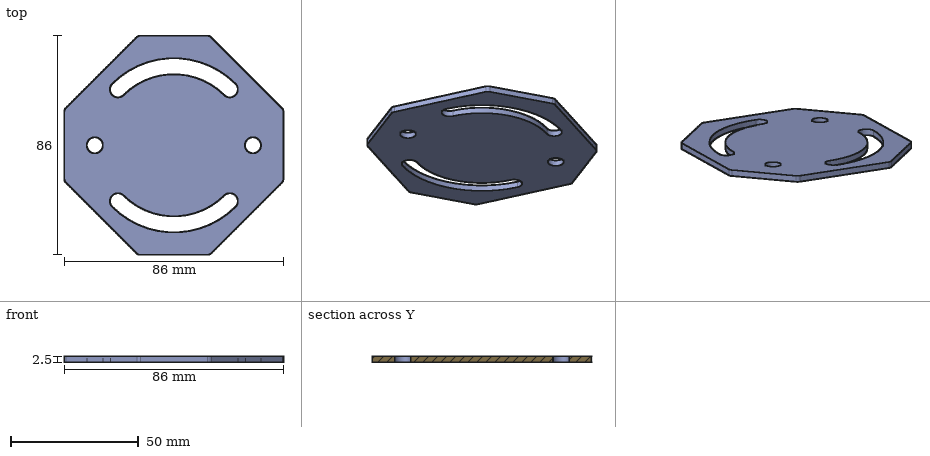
import cadquery as cq
import math

plate_size = 86.0
plate_thickness = 2.5
flat_length = 28.0
corner_radius = 2.0

pitch_radius = 31.0
opening_width = 6.2
slot_half_angle = 45.0
slot_middle_angles = (90.0, 270.0)
hole_angles = (0.0, 180.0)


def polar_point(radius, angle):
    """Point at a radius and an angle in degrees about the plate centre."""
    turn = math.radians(angle)
    return (radius * math.cos(turn), radius * math.sin(turn))


def make_plate():
    """Square plate with cut-off corners and rounded vertical edges, base at Z = 0."""
    corner_cut = (plate_size - flat_length) / 2
    return (
        cq.Workplane("XY")
        .rect(plate_size, plate_size)
        .extrude(plate_thickness)
        .edges("|Z")
        .chamfer(corner_cut)
        .edges("|Z")
        .fillet(corner_radius)
    )


def make_hole(angle):
    """Cutter for one round through hole on the pitch circle."""
    return (
        cq.Workplane("XY")
        .pushPoints([polar_point(pitch_radius, angle)])
        .circle(opening_width / 2)
        .extrude(plate_thickness)
    )


def make_slot(middle_angle):
    """Cutter for one curved through slot with round ends, following the pitch circle."""
    inner_radius = pitch_radius - opening_width / 2
    outer_radius = pitch_radius + opening_width / 2
    start_angle = middle_angle - slot_half_angle
    end_angle = middle_angle + slot_half_angle
    band = (
        cq.Workplane("XY")
        .moveTo(*polar_point(inner_radius, start_angle))
        .lineTo(*polar_point(outer_radius, start_angle))
        .threePointArc(polar_point(outer_radius, middle_angle), polar_point(outer_radius, end_angle))
        .lineTo(*polar_point(inner_radius, end_angle))
        .threePointArc(polar_point(inner_radius, middle_angle), polar_point(inner_radius, start_angle))
        .close()
        .extrude(plate_thickness)
    )
    return band.union(make_hole(start_angle)).union(make_hole(end_angle))


result = make_plate()
for hole_angle in hole_angles:
    result = result.cut(make_hole(hole_angle))
for slot_angle in slot_middle_angles:
    result = result.cut(make_slot(slot_angle))